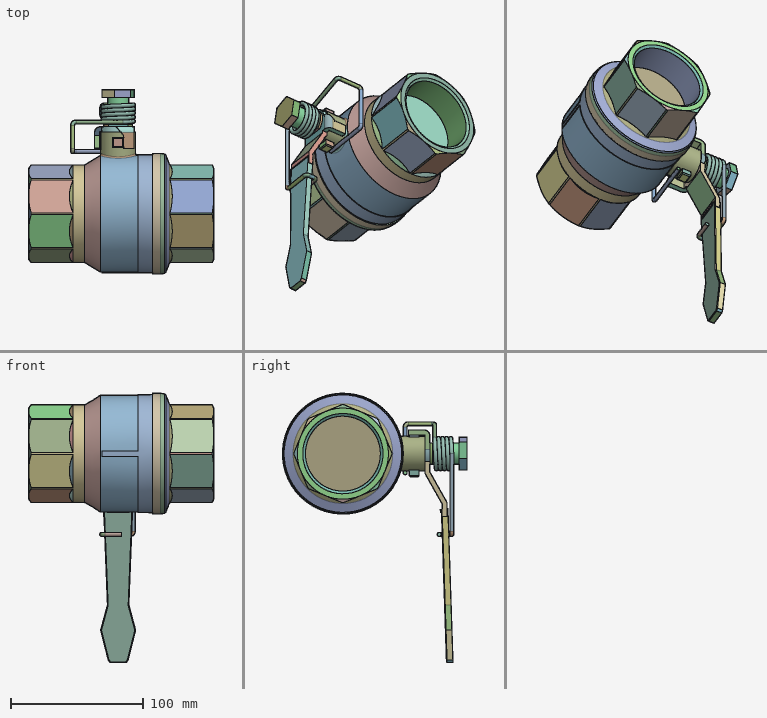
import cadquery as cq
import math


OVERALL_HEIGHT = 203.6
OVERALL_DEPTH = 139.5

LENGTH = 140.0
END_SIDES = 8
END_DIA = 74.0
END_APOTHEM = 34.5
END_CHAMFER_LEFT = 1.8
END_CHAMFER_RIGHT = 1.2
PANEL_DIA = 88.4
BARREL_DIA = 89.5
FLANGE_DIA = 91.5
LIP_DIA = 90.5
LIP_FACE_DIA = 88.8
SHOULDER_DIA = 75.4

OCTAGON_LEFT_END = 30.8
NECK_START = 33.6
CONE_START = 42.4
PANEL_START = 54.2
PANEL_END = 82.7
FLANGE_START = 93.7
FLANGE_END = 99.5
LIP_START = 102.6
LIP_END = 103.7
SHOULDER_KNEE = 106.3
SHOULDER_END = 108.5

LAND_WIDTH = 4.0
LAND_START = PANEL_START + 1.2

BORE_DIA = 56.6
BORE_DEPTH = 24.5
BORE_CHAMFER = 2.0
BORE_CHAMFER_DEPTH = 1.5

STEM_X = 67.6
COLLAR_DIA = 26.5
COLLAR_BASE = 36.7
COLLAR_TOP = 62.0
COLLAR_FILLET = 1.2
STEM_DIA = 16.0
WASHER_DIA = 21.8
WASHER_TOP = 67.6
NUT_BASE = 87.8
NUT_TOP = OVERALL_DEPTH - FLANGE_DIA / 2
NUT_CORNER_DIA = 25.7
NUT_TURN = 43.0

LUG_WIDTH = 8.5
LUG_BASE = 50.0
LUG_TOP = 57.6
LUG_REACH = 17.5
LUG_CHAMFER = 0.8

PLATE = 3.9
PLATE_BASE = COLLAR_TOP
HEAD_DIA = 24.8
TAB_REACH = 18.0
TAB_BOTTOM = 49.5
TAB_NEAR = 4.0
TAB_FAR = 12.0
TAB_GUSSET_Y = 59.3
TAB_GUSSET_WIDTH = 5.7
TAB_BEND = 4.5

ARM_BEND_TOP = -14.9
ARM_BEND_LOW = -38.0
ARM_OVERLAP = 6.1
GRIP_TOP = -41.5
GRIP_BOTTOM = FLANGE_DIA / 2 - OVERALL_HEIGHT
ARM_OFFSET = 13.0
GRIP_LEAN = 1.9
GRIP_THICKNESS = 5.0
GRIP_WAIST = -114.5
GRIP_WIDEST = -133.4
GRIP_SHOULDER = -156.0
GRIP_EDGE = 0.6
RIDGE_HALF_WIDTH = 8.1
RIDGE_HEIGHT = 0.8
RIDGE_TOP = -42.0
RIDGE_BOTTOM = -44.2
HALF_TOP = 11.0
HALF_WAIST = 8.1
HALF_WIDEST = 13.2
HALF_SHOULDER = 7.5
HALF_BOTTOM = 6.1

WIRE_DIA = 3.0
COIL_RADIUS = 23.0 / 2
FULL_TURNS = 4
COIL_TOP = 82.3
COIL_BOTTOM = 69.2
COIL_EXIT = 73.0
LOOP_X = 33.2
LOOP_BOTTOM = 47.0
HOOK_Z = -14.5
HOOK_END = STEM_X + 4.0
LEG_Z = -61.0
CATCH_LEFT = 55.2
CATCH_FRONT = 72.7
CATCH_END = 70.0
WIRE_BEND = 2.5


def revolve_x(points):
    """Revolve an (x, radius) outline around the pipe axis."""
    return cq.Workplane("XY").polyline(points).close().revolve(360, (0, 0, 0), (1, 0, 0))


def stem_cylinder(dia, base, top):
    """Cylinder on the stem axis between two Y levels."""
    return (
        cq.Workplane("XZ", origin=(STEM_X, base, 0))
        .circle(dia / 2)
        .extrude(base - top)
    )


def box(x_range, y_range, z_range):
    """Box spanning three (low, high) ranges."""
    (x0, x1), (y0, y1), (z0, z1) = x_range, y_range, z_range
    return cq.Workplane("XY").box(x1 - x0, y1 - y0, z1 - z0, centered=False).translate((x0, y0, z0))


def make_octagon_ends():
    """Wrench flats at both ends, with rounded corners and chamfered faces."""
    flats = (
        cq.Workplane("YZ")
        .polygon(END_SIDES, 2 * END_APOTHEM / math.cos(math.pi / END_SIDES))
        .extrude(LENGTH)
    )
    turned = revolve_x([
        (0, 0),
        (0, END_APOTHEM),
        (END_CHAMFER_LEFT, END_DIA / 2),
        (LENGTH - END_CHAMFER_RIGHT, END_DIA / 2),
        (LENGTH, END_APOTHEM),
        (LENGTH, 0),
    ])
    return flats.intersect(turned)


def make_chamber():
    """Turned centre of the body, running out into the octagons at both ends."""
    return revolve_x([
        (OCTAGON_LEFT_END, 0),
        (OCTAGON_LEFT_END, END_APOTHEM),
        (NECK_START, END_DIA / 2),
        (CONE_START, END_DIA / 2),
        (PANEL_START, PANEL_DIA / 2),
        (PANEL_END, PANEL_DIA / 2),
        (PANEL_END, BARREL_DIA / 2),
        (FLANGE_START, BARREL_DIA / 2),
        (FLANGE_START, FLANGE_DIA / 2),
        (FLANGE_END, FLANGE_DIA / 2),
        (LIP_START, LIP_DIA / 2),
        (LIP_END, LIP_FACE_DIA / 2),
        (SHOULDER_KNEE, SHOULDER_DIA / 2),
        (SHOULDER_END, END_APOTHEM),
        (SHOULDER_END, 0),
    ])


def make_lands():
    """Two narrow lands at barrel height crossing the recessed band."""
    half = LAND_WIDTH / 2
    bar = box((LAND_START, PANEL_END), (-BARREL_DIA / 2, BARREL_DIA / 2), (-half, half))
    barrel = cq.Workplane("YZ").circle(BARREL_DIA / 2).extrude(LENGTH)
    return bar.intersect(barrel)


def make_bore():
    """Blind bore entered from the x = 0 face."""
    radius = BORE_DIA / 2
    return revolve_x([
        (0, 0),
        (0, radius + BORE_CHAMFER),
        (BORE_CHAMFER_DEPTH, radius),
        (BORE_DEPTH, radius),
        (BORE_DEPTH, 0),
    ])


def make_body():
    """Body with equal blind bores at both ends."""
    body = make_octagon_ends().union(make_chamber()).union(make_lands())
    left_bore = make_bore()
    right_bore = left_bore.mirror("YZ").translate((LENGTH, 0, 0))
    return body.cut(left_bore).cut(right_bore)


def make_collar():
    """Collar rising from the recessed band, blended into it with a small fillet."""
    band = cq.Workplane("YZ").circle(PANEL_DIA / 2).extrude(LENGTH)
    blended = (
        band.union(stem_cylinder(COLLAR_DIA, COLLAR_BASE, COLLAR_TOP))
        .edges("%BSPLINE")
        .fillet(COLLAR_FILLET)
    )
    keep = box((PANEL_START, PANEL_END), (COLLAR_BASE, COLLAR_TOP), (-COLLAR_DIA, COLLAR_DIA))
    return blended.intersect(keep)


def make_stem():
    """Collar, lugs, clamping shoulder, stem and hex nut."""
    stem = make_collar().union(stem_cylinder(STEM_DIA, COLLAR_BASE, NUT_TOP))
    half_lug = LUG_WIDTH / 2
    lugs = box(
        (STEM_X - half_lug, STEM_X + half_lug),
        (LUG_BASE, LUG_TOP),
        (-LUG_REACH, LUG_REACH),
    ).faces("<Z or >Z").chamfer(LUG_CHAMFER)
    half_stem = STEM_DIA / 2
    flats = box(
        (STEM_X - WASHER_DIA, STEM_X + WASHER_DIA),
        (COLLAR_TOP, WASHER_TOP),
        (-half_stem, half_stem),
    )
    washer = stem_cylinder(WASHER_DIA, COLLAR_TOP, WASHER_TOP).intersect(flats)
    nut = (
        cq.Workplane("XZ")
        .polygon(6, NUT_CORNER_DIA)
        .extrude(NUT_BASE - NUT_TOP)
        .rotate((0, 0, 0), (0, 1, 0), -NUT_TURN)
        .translate((STEM_X, NUT_BASE, 0))
    )
    return stem.union(lugs).union(washer).union(nut)


def make_tab():
    """Stop tab bent down from the handle head on the -X side."""
    top = PLATE_BASE + PLATE
    outer = STEM_X - TAB_REACH
    outline = (
        cq.Workplane("XY", origin=(0, 0, -TAB_FAR))
        .moveTo(STEM_X, PLATE_BASE)
        .lineTo(STEM_X, top)
        .lineTo(outer + TAB_BEND, top)
        .radiusArc((outer, top - TAB_BEND), -TAB_BEND)
        .lineTo(outer, TAB_BOTTOM)
        .lineTo(outer + PLATE, TAB_BOTTOM)
        .lineTo(outer + PLATE, PLATE_BASE)
        .close()
    )
    bent_strip = outline.extrude(TAB_FAR - TAB_NEAR + TAB_GUSSET_WIDTH)
    flared_side = (
        cq.Workplane("YZ", origin=(outer, 0, 0))
        .polyline([
            (TAB_BOTTOM, -TAB_FAR),
            (top, -TAB_FAR),
            (top, TAB_GUSSET_WIDTH - TAB_NEAR),
            (TAB_GUSSET_Y, -TAB_NEAR),
            (TAB_BOTTOM, -TAB_NEAR),
        ])
        .close()
        .extrude(TAB_REACH)
    )
    return bent_strip.intersect(flared_side)


def make_head():
    """Round handle head with one stop tab to -X and its twin to +Z."""
    side_tab = make_tab()
    top_tab = side_tab.rotate((STEM_X, 0, 0), (STEM_X, 1, 0), 90).mirror("YZ", (STEM_X, 0, 0))
    head = stem_cylinder(HEAD_DIA, PLATE_BASE, PLATE_BASE + PLATE)
    return head.union(side_tab).union(top_tab)


def make_arm():
    """Cranked metal strip from the head down into the grip."""
    low = PLATE_BASE + ARM_OFFSET
    crank = math.atan2(ARM_OFFSET, ARM_BEND_TOP - ARM_BEND_LOW)
    shift = PLATE * math.tan(crank / 2)
    end = GRIP_TOP - ARM_OVERLAP
    return (
        cq.Workplane("YZ", origin=(STEM_X - HALF_TOP, 0, 0))
        .polyline([
            (PLATE_BASE, 0),
            (PLATE_BASE, ARM_BEND_TOP),
            (low, ARM_BEND_LOW),
            (low, end),
            (low + PLATE, end),
            (low + PLATE, ARM_BEND_LOW + shift),
            (PLATE_BASE + PLATE, ARM_BEND_TOP + shift),
            (PLATE_BASE + PLATE, 0),
        ])
        .close()
        .extrude(2 * HALF_TOP)
    )


def make_grip():
    """Leaning paddle-shaped grip, symmetric about the stem axis."""
    right_edge = [
        (HALF_TOP, GRIP_TOP),
        (HALF_WAIST, GRIP_WAIST),
        (HALF_WIDEST, GRIP_WIDEST),
        (HALF_SHOULDER, GRIP_SHOULDER),
        (HALF_BOTTOM, GRIP_BOTTOM),
    ]
    left_edge = [(-x, z) for x, z in reversed(right_edge)]
    middle = PLATE_BASE + ARM_OFFSET + PLATE / 2
    grip = (
        cq.Workplane("XZ", origin=(STEM_X, middle + GRIP_THICKNESS / 2, 0))
        .polyline(right_edge + left_edge)
        .close()
        .extrude(GRIP_THICKNESS)
        .faces("<Y")
        .chamfer(GRIP_EDGE)
    )
    ridge = box(
        (STEM_X - RIDGE_HALF_WIDTH, STEM_X + RIDGE_HALF_WIDTH),
        (middle - GRIP_THICKNESS / 2 - RIDGE_HEIGHT, middle),
        (RIDGE_BOTTOM, RIDGE_TOP),
    )
    grip = grip.union(ridge)
    pivot = (STEM_X, middle, GRIP_TOP)
    axis_end = (STEM_X + 2, middle, GRIP_TOP)
    return grip.rotate(pivot, axis_end, GRIP_LEAN)


def bent_wire(points):
    """Round wire along straight runs, with a rounded bend at each inner point."""
    vectors = [cq.Vector(*p) for p in points]
    edges = []
    start = vectors[0]
    for before, corner, after in zip(vectors, vectors[1:], vectors[2:]):
        into = (corner - before).normalized()
        away = (after - corner).normalized()
        turn = into.getAngle(away)
        setback = WIRE_BEND * math.tan(turn / 2)
        bend_in = corner - into * setback
        bend_out = corner + away * setback
        edges.append(cq.Edge.makeLine(start, bend_in))
        edges.append(cq.Edge.makeTangentArc(bend_in, into, bend_out))
        start = bend_out
    edges.append(cq.Edge.makeLine(start, vectors[-1]))
    path = cq.Workplane("XY").newObject([cq.Wire.assembleEdges(edges)])
    first_run = vectors[1] - vectors[0]
    plane = cq.Plane(origin=points[0], normal=first_run.toTuple())
    return cq.Workplane(plane).circle(WIRE_DIA / 2).sweep(path)


def make_coil():
    """Close-wound coil from its exit angle below to the +X side on top."""
    turns = FULL_TURNS + COIL_EXIT / 360
    height = COIL_TOP - COIL_BOTTOM
    helix = cq.Wire.makeHelix(height / turns, height, COIL_RADIUS)
    coil = (
        cq.Workplane("XZ", origin=(COIL_RADIUS, 0, 0))
        .circle(WIRE_DIA / 2)
        .sweep(cq.Workplane("XY").newObject([helix]), isFrenet=True)
    )
    return (
        coil.rotate((0, 0, 0), (1, 0, 0), -90)
        .rotate((0, 0, 0), (0, 1, 0), -COIL_EXIT)
        .translate((STEM_X, COIL_BOTTOM, 0))
    )


def make_spring():
    """Coil around the stem, with a loop hooked under the collar and a leg catching the handle."""
    exit_angle = math.radians(COIL_EXIT)
    exit_x = STEM_X + COIL_RADIUS * math.cos(exit_angle)
    exit_z = COIL_RADIUS * math.sin(exit_angle)
    loop_z = exit_z + (exit_x - LOOP_X) / math.tan(exit_angle)
    loop = bent_wire([
        (exit_x, COIL_BOTTOM, exit_z),
        (LOOP_X, COIL_BOTTOM, loop_z),
        (LOOP_X, LOOP_BOTTOM, loop_z),
        (LOOP_X, LOOP_BOTTOM, HOOK_Z),
        (HOOK_END, LOOP_BOTTOM, HOOK_Z),
    ])
    leg_x = STEM_X + COIL_RADIUS
    catch = bent_wire([
        (leg_x, COIL_TOP, 0),
        (leg_x, COIL_TOP, LEG_Z),
        (CATCH_LEFT, COIL_TOP, LEG_Z),
        (CATCH_LEFT, CATCH_FRONT, LEG_Z),
        (CATCH_END, CATCH_FRONT, LEG_Z),
    ])
    return make_coil().union(loop).union(catch)


result = (
    make_body()
    .union(make_stem())
    .union(make_head())
    .union(make_arm())
    .union(make_grip())
    .union(make_spring())
)